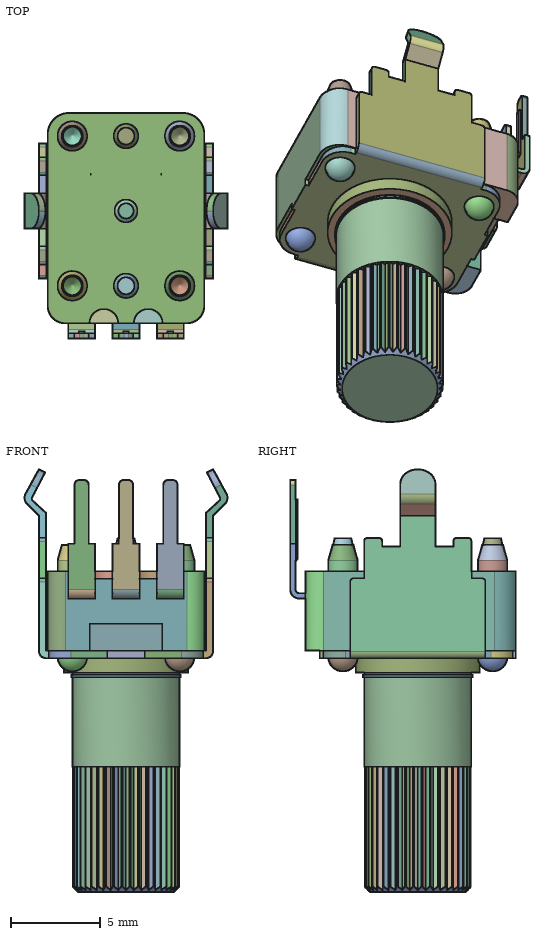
import cadquery as cq
import math

KNURL_TOP = 7.05
COLLAR_BOTTOM = 12.3
PLATE_BOTTOM = 13.1
PLATE_TOP = 13.53
HOUSING_TOP = 18.0
TOTAL_HEIGHT = 23.7

SHAFT_RADIUS = 3.0
COLLAR_RADIUS = 3.48
RING_RADIUS = 3.08
RING_BOTTOM = 12.05
RING_HEIGHT = 0.15
TOOTH_COUNT = 40
TOOTH_RADIUS = 2.99
TOOTH_DEPTH = 0.2
TOOTH_LAND_ANGLE = 1.6
TIP_CHAMFER = 0.3

HOUSING_WIDTH = 8.8
HOUSING_BACK = 5.5
HOUSING_FRONT = -6.3
FRONT_CORNER = 1.0
BACK_CORNER = 1.2
RECESS_WIDTH = 4.08
RECESS_DEPTH = 1.42
RECESS_TOP = 15.05

PEG_X = 3.0
PEG_Y = 4.2
PEG_RADIUS = 0.83

CLIP_HALF_SPAN = 4.88
CLIP_THICKNESS = 0.4
PLATE_HALF_LENGTH = 5.3
PLATE_HALF_WIDTH = 4.34
PLATE_CORNER = 1.23
PLATE_TAB_WIDTH = 2.09

TERMINAL_PITCH = 2.5
TERMINAL_FRONT = -7.15
TERMINAL_THICKNESS = 0.3
TERMINAL_BOTTOM = 16.45
TERMINAL_WIDTH = 1.52
BEND_RADIUS = 0.21
TERMINAL_SHOULDER = 19.53
PIN_WIDTH = 0.8
PIN_TOP = 23.1
PIN_TIP_RADIUS = 0.28
RIB_WIDTH = 0.33
RIB_HEIGHT = 0.12
RIB_BEVEL = 0.1
RIB_BOTTOM = 18.58
RIB_TOP = 22.02


def cylinder(radius, bottom, top):
    return cq.Workplane("XY").workplane(offset=bottom).circle(radius).extrude(top - bottom)


def box(width, back, front, bottom, top):
    """Block centred on X that runs from front to back along Y."""
    corner = cq.Vector(-width / 2, front, bottom)
    return cq.Workplane(cq.Solid.makeBox(width, back - front, top - bottom, corner))


def polar(radius, degrees):
    angle = math.radians(degrees)
    return (radius * math.cos(angle), radius * math.sin(angle))


def make_knurl():
    """Serrated shaft end with a valley on each axis and a chamfered tip."""
    pitch = 360 / TOOTH_COUNT
    outline = []
    for tooth in range(TOOTH_COUNT):
        valley = tooth * pitch
        crest = valley + pitch / 2
        outline.append(polar(TOOTH_RADIUS - TOOTH_DEPTH, valley))
        outline.append(polar(TOOTH_RADIUS, crest - TOOTH_LAND_ANGLE / 2))
        outline.append(polar(TOOTH_RADIUS, crest + TOOTH_LAND_ANGLE / 2))
    teeth = cq.Workplane("XY").polyline(outline).close().extrude(KNURL_TOP)
    envelope = cylinder(TOOTH_RADIUS, 0, KNURL_TOP).faces("<Z").chamfer(TIP_CHAMFER)
    return teeth.intersect(envelope)


def make_shaft():
    shaft = cylinder(SHAFT_RADIUS, KNURL_TOP, PLATE_BOTTOM)
    ring = cylinder(RING_RADIUS, RING_BOTTOM, RING_BOTTOM + RING_HEIGHT)
    collar = cylinder(COLLAR_RADIUS, COLLAR_BOTTOM, PLATE_BOTTOM)
    return make_knurl().union(shaft).union(ring).union(collar)


def make_housing():
    housing = box(HOUSING_WIDTH, HOUSING_BACK, HOUSING_FRONT, PLATE_TOP, HOUSING_TOP)
    housing = housing.edges("|Z and <Y").fillet(FRONT_CORNER)
    housing = housing.edges("|Z and >Y").fillet(BACK_CORNER)
    recess_back = HOUSING_FRONT + RECESS_DEPTH
    housing = housing.cut(box(RECESS_WIDTH, recess_back, HOUSING_FRONT, PLATE_TOP, RECESS_TOP))
    scallop_radius = 0.8
    scallop_depth = 0.43
    scallop = cylinder(scallop_radius, HOUSING_TOP - scallop_depth, HOUSING_TOP)
    for side in (-1, 1):
        housing = housing.cut(scallop.translate((side * TERMINAL_PITCH / 2, HOUSING_FRONT, 0)))
    return housing


def make_peg(radius, straight_height, tip_radius, height):
    """Round peg on the housing top: a straight foot and a tapered end."""
    profile = [
        (0, 0),
        (radius, 0),
        (radius, straight_height),
        (tip_radius, height),
        (0, height),
    ]
    peg = cq.Workplane("XZ").polyline(profile).close().revolve(360, (0, 0), (0, 1))
    return peg.translate((0, 0, HOUSING_TOP))


def make_corner_peg():
    """Tapered peg with a conical hollow in its tip."""
    height = 1.47
    hollow_radius = 0.52
    hollow_depth = 0.7
    peg = make_peg(PEG_RADIUS, straight_height=0.62, tip_radius=0.6, height=height)
    hollow = cq.Solid.makeCone(0, hollow_radius, hollow_depth)
    return peg.cut(cq.Workplane(hollow).translate((0, 0, HOUSING_TOP + height - hollow_depth)))


def make_rivet():
    """Domed head under the plate."""
    height = 0.73
    dome_radius = (PEG_RADIUS**2 + height**2) / (2 * height)
    ball = cq.Workplane("XY").sphere(dome_radius)
    ball = ball.translate((0, 0, PLATE_BOTTOM - height + dome_radius))
    return ball.intersect(cylinder(PEG_RADIUS, PLATE_BOTTOM - height, PLATE_BOTTOM))


def make_plate():
    """Flat base of the clip, with a short tab at the front and back."""
    length = PLATE_HALF_LENGTH
    plate = box(2 * PLATE_HALF_WIDTH, length, -length, PLATE_BOTTOM, PLATE_TOP)
    plate = plate.edges("|Z").fillet(PLATE_CORNER)
    return plate.union(box(PLATE_TAB_WIDTH, HOUSING_BACK, -HOUSING_BACK, PLATE_BOTTOM, PLATE_TOP))


def make_arm():
    """Right-hand clip arm, bent up from the plate and kinked at the top."""
    outer = CLIP_HALF_SPAN
    inner = outer - CLIP_THICKNESS
    foot_half_width = 3.8
    foot_top = 17.59
    ear_half_width = 3.0
    ear_top = 19.85
    notch_half_width = 2.0
    notch_bottom = 19.39
    tongue_half_width = 1.0
    tip_radius = 0.97
    corner_radius = 0.2
    kink_bottom = 21.1
    kink_height = 22.02
    kink_outer = 5.8
    kink_inner = 5.3
    kink_radius = 0.47
    kink_inner_radius = 0.15
    tip_inner = 4.53
    tip_drop = 0.17

    profile = [
        (0, PLATE_BOTTOM),
        (outer, PLATE_BOTTOM),
        (outer, kink_bottom),
        (kink_outer, kink_height),
        (outer, TOTAL_HEIGHT),
        (tip_inner, TOTAL_HEIGHT - tip_drop),
        (kink_inner, kink_height),
        (inner, kink_bottom + tip_drop),
        (inner, PLATE_TOP),
        (0, PLATE_TOP),
    ]
    strip = cq.Workplane("XZ").polyline(profile).close().extrude(foot_half_width, both=True)
    bend = cq.selectors.NearestToPointSelector((outer, 0, PLATE_BOTTOM))
    strip = strip.edges(bend).fillet(CLIP_THICKNESS)
    kink = cq.selectors.NearestToPointSelector((kink_outer, 0, kink_height))
    strip = strip.edges(kink).fillet(kink_radius)
    inner_kink = cq.selectors.NearestToPointSelector((kink_inner, 0, kink_height))
    strip = strip.edges(inner_kink).fillet(kink_inner_radius)

    half_outline = [
        (foot_half_width, PLATE_BOTTOM),
        (foot_half_width, foot_top),
        (ear_half_width, foot_top),
        (ear_half_width, ear_top),
        (notch_half_width, ear_top),
        (notch_half_width, notch_bottom),
        (tongue_half_width, notch_bottom),
        (tongue_half_width, TOTAL_HEIGHT),
    ]
    mirrored = [(-y, z) for y, z in reversed(half_outline)]
    blank = cq.Workplane("YZ").polyline(half_outline + mirrored).close().extrude(kink_outer)
    rounded_corners = [
        (foot_half_width, foot_top),
        (ear_half_width, ear_top),
        (notch_half_width, ear_top),
    ]
    for y, z in rounded_corners:
        for side in (-1, 1):
            corner = cq.selectors.NearestToPointSelector((kink_outer / 2, side * y, z))
            blank = blank.edges(corner).fillet(corner_radius)
    arm = strip.intersect(blank)

    tip_x = (outer + tip_inner) / 2
    tip_z = TOTAL_HEIGHT - tip_drop / 2
    for side in (-1, 1):
        edge = cq.selectors.NearestToPointSelector((tip_x, side * tongue_half_width, tip_z))
        arm = arm.edges(edge).fillet(tip_radius)
    return arm


def make_terminal():
    """L-shaped terminal with a narrow pin and a stiffening rib behind it."""
    back = TERMINAL_FRONT + TERMINAL_THICKNESS
    blade = box(TERMINAL_WIDTH, back, TERMINAL_FRONT, TERMINAL_BOTTOM, TERMINAL_SHOULDER)
    stem_top = TERMINAL_BOTTOM + TERMINAL_THICKNESS
    stem = box(TERMINAL_WIDTH, HOUSING_FRONT, TERMINAL_FRONT, TERMINAL_BOTTOM, stem_top)
    terminal = blade.union(stem).edges("|X and <Y and <Z").fillet(BEND_RADIUS + TERMINAL_THICKNESS)
    inner_bend = cq.selectors.NearestToPointSelector((0, back, stem_top))
    terminal = terminal.edges(inner_bend).fillet(BEND_RADIUS)
    pin = box(PIN_WIDTH, back, TERMINAL_FRONT, TERMINAL_SHOULDER, PIN_TOP)
    pin = pin.edges("|Y and >Z").fillet(PIN_TIP_RADIUS)
    rib = box(RIB_WIDTH, back + RIB_HEIGHT, back, RIB_BOTTOM, RIB_TOP)
    rib = rib.edges("|X and >Y and <Z").chamfer(RIB_BEVEL)
    return terminal.union(pin).union(rib)


result = make_shaft().union(make_plate()).union(make_housing())

arm = make_arm()
result = result.union(arm).union(arm.mirror("YZ"))

corner_peg = make_corner_peg()
rivet = make_rivet()
for x in (-PEG_X, PEG_X):
    for y in (-PEG_Y, PEG_Y):
        result = result.union(corner_peg.translate((x, y, 0)))
        result = result.union(rivet.translate((x, y, 0)))

middle_peg = make_peg(radius=0.69, straight_height=0.92, tip_radius=0.47, height=1.85)
for y in (-PEG_Y, PEG_Y):
    result = result.union(middle_peg.translate((0, y, 0)))
center_peg = make_peg(radius=0.65, straight_height=0.66, tip_radius=0.43, height=0.88)
result = result.union(center_peg)

terminal = make_terminal()
for position in (-1, 0, 1):
    result = result.union(terminal.translate((position * TERMINAL_PITCH, 0, 0)))